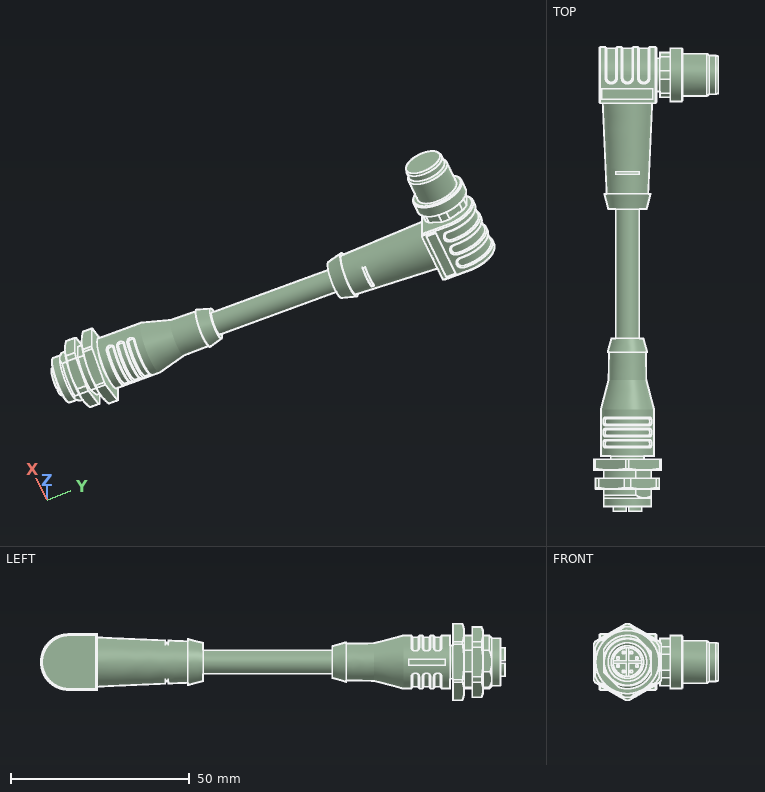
import cadquery as cq
import math

OVERALL_LENGTH = 130
OVERLAP = 0.6

head_dia = 15.7
head_radius = head_dia / 2
head_bottom = -7.9
head_left = -7.9
head_right = 8.2
head_edge_chamfer = 0.4
grip_depth = 0.4
head_grip_width = 3.4
head_grip_pitch = 4.5
head_grip_end = -2.5
label_length = 14.3
label_width = 2.9
label_center = -5.3
label_depth = 0.2

plug_neck_dia = 9.4
plug_hex_flats = 12.6
plug_hex_corners = 13.4
plug_ring_dia = 15.0
plug_thread_dia = 12.0
plug_tip_dia = 10.9
plug_mouth_dia = 10.4
plug_hex_start = 9.1
plug_ring_start = 12.0
plug_thread_start = 15.5
plug_thread_end = 22.2
plug_tip_start = 22.9
plug_mouth_start = 24.7
plug_end = 25.5
plug_ring_chamfer = 0.32

relief_top_dia = 13.9
relief_end_dia = 11.7
relief_collar_dia = 13
relief_tip_dia = 10.8
relief_collar = -33.3
relief_end = -37.5
mark_width = 6.5
mark_height = 0.8
mark_depth = 0.5
mark_center = -27.4
cable_dia = 6.6

socket_tip = -73.7
socket_collar = -77.6
socket_cone_start = -85.4
socket_body_start = -93.6
socket_body_end = -106.7
socket_tip_dia = 9.0
socket_collar_dia = 11.2
socket_sleeve_dia = 10.4
socket_cone_dia = 10.7
socket_body_dia = 15.0
socket_grip_depth = 0.5
socket_grip_width = 2.3
socket_grip_wall = 0.4
socket_grip_pitch = 3.1
socket_grip_first = -97.0
socket_grip_floor = 3.1
panel_length = 10.1
panel_width = 1.7
panel_center = -100.2
panel_depth = 0.1

socket_neck_dia = 9.4
flange_start = -107.5
flange_thickness = 3.1
flange_flats = 19.0
flange_corners = 21.5
flange_face_dia = 18.7
nut_start = -112.8
nut_thickness = 3.1
nut_flats = 18.0
nut_corners = 19.8
nut_face_dia = 17.7
hex_chamfer = 0.45
barrel_dia = 15.0
barrel_flats = 13.4
barrel_taper_start = -117.6
barrel_taper_end = -118.4
barrel_end = -120.9
barrel_end_chamfer = 0.2
bore_mouth_dia = 10.8
bore_floor_dia = 9.1
bore_depth = 5.2

insert_end = head_radius - OVERALL_LENGTH
insert_dia = 8.0
insert_slot = 0.6
insert_slot_depth = 2.6
contact_dia = 0.73
contact_depth = 3.9
contact_circle = 5.7
contact_half_angle = 22.5


def box(size, center):
    return cq.Workplane("XY").box(*size).translate(center)


def turned_y(points):
    """Turn a (radius, Y) outline about the Y axis."""
    outline = [(0, points[0][1])] + points + [(0, points[-1][1])]
    return cq.Workplane("XY").polyline(outline).close().revolve(360, (0, 0, 0), (0, 1, 0))


def turned_x(points):
    """Turn an (X, radius) outline about the X axis."""
    outline = [(points[0][0], 0)] + points + [(points[-1][0], 0)]
    return cq.Workplane("XY").polyline(outline).close().revolve(360, (0, 0, 0), (1, 0, 0))


def head_grip(center):
    """Groove with sloping walls, wrapping the round end and ending in a rounded tip on both flats."""
    half_outer = head_grip_width / 2
    half_floor = half_outer - grip_depth
    floor_r = head_radius - grip_depth
    wrap = (
        cq.Workplane("XY")
        .polyline([
            (center - half_outer, head_radius),
            (center - half_floor, floor_r),
            (center + half_floor, floor_r),
            (center + half_outer, head_radius),
        ])
        .close()
        .revolve(360, (0, 0, 0), (1, 0, 0))
        .intersect(box((4 * half_outer, 2 * head_radius, 2 * head_radius), (center, head_radius, 0)))
    )
    tip = (
        cq.Workplane("XY", origin=(center, 0, head_radius))
        .slot2D(-2 * head_grip_end, head_grip_width, 90)
        .extrude(-grip_depth, taper=45)
    )
    return wrap.union(tip).union(tip.mirror("XY"))


def head():
    """D-shaped block, round at +Y and square at -Y, with grip grooves and label recesses."""
    body = (
        cq.Workplane("YZ", origin=(head_left, 0, 0))
        .moveTo(head_bottom, -head_radius)
        .lineTo(0, -head_radius)
        .threePointArc((head_radius, 0), (0, head_radius))
        .lineTo(head_bottom, head_radius)
        .close()
        .extrude(head_right - head_left)
        .faces("<X or >X")
        .chamfer(head_edge_chamfer)
    )
    for i in (-1, 0, 1):
        body = body.cut(head_grip(i * head_grip_pitch))
    for side in (-1, 1):
        body = body.cut(
            box((label_length, label_width, 2 * label_depth), (0, label_center, side * head_radius))
        )
    return body


def plug():
    neck_r = plug_neck_dia / 2
    ring_r = plug_ring_dia / 2
    thread_r = plug_thread_dia / 2
    tip_r = plug_tip_dia / 2
    body = turned_x([
        (head_right - OVERLAP, neck_r),
        (plug_ring_start, neck_r),
        (plug_ring_start, ring_r),
        (plug_thread_start - plug_ring_chamfer, ring_r),
        (plug_thread_start, ring_r - plug_ring_chamfer),
        (plug_thread_start, thread_r),
        (plug_thread_end, thread_r),
        (plug_tip_start, tip_r),
        (plug_mouth_start, tip_r),
        (plug_end, plug_mouth_dia / 2),
    ])
    hex_length = plug_ring_start - plug_hex_start
    hexagon = (
        cq.Workplane("YZ", origin=(plug_hex_start, 0, 0))
        .polygon(6, plug_hex_flats / math.cos(math.pi / 6))
        .extrude(hex_length)
        .rotate((0, 0, 0), (1, 0, 0), 30)
    )
    rounding = (
        cq.Workplane("YZ", origin=(plug_hex_start, 0, 0)).circle(plug_hex_corners / 2).extrude(hex_length)
    )
    return body.union(hexagon.intersect(rounding))


def strain_relief():
    body = turned_y([
        (relief_top_dia / 2, head_bottom + OVERLAP),
        (relief_top_dia / 2, head_bottom),
        (relief_end_dia / 2, relief_collar),
        (relief_collar_dia / 2, relief_collar),
        (relief_tip_dia / 2, relief_end),
    ])
    share = (head_bottom - mark_center) / (head_bottom - relief_collar)
    surface_r = (relief_top_dia + share * (relief_end_dia - relief_top_dia)) / 2
    core_r = surface_r - mark_depth
    mark = box((mark_width, mark_height, relief_top_dia), (0, mark_center, 0)).cut(
        turned_y([(core_r, mark_center + mark_height), (core_r, mark_center - mark_height)])
    )
    return body.cut(mark)


def cable():
    return turned_y([(cable_dia / 2, relief_end + OVERLAP), (cable_dia / 2, socket_tip - OVERLAP)])


def socket_moulding():
    body_r = socket_body_dia / 2
    body = turned_y([
        (socket_tip_dia / 2, socket_tip),
        (socket_collar_dia / 2, socket_collar),
        (socket_sleeve_dia / 2, socket_collar),
        (socket_cone_dia / 2, socket_cone_start),
        (body_r, socket_body_start),
        (body_r, socket_body_end),
    ])
    floor_r = body_r - socket_grip_depth
    half_outer = socket_grip_width / 2
    half_floor = half_outer - socket_grip_wall
    groove_length = 2 * (body_r - socket_grip_floor)
    for i in range(3):
        groove_y = socket_grip_first - i * socket_grip_pitch
        ring = (
            cq.Workplane("XY")
            .polyline([
                (body_r, groove_y + half_outer),
                (floor_r, groove_y + half_floor),
                (floor_r, groove_y - half_floor),
                (body_r, groove_y - half_outer),
            ])
            .close()
            .revolve(360, (0, 0, 0), (0, 1, 0))
        )
        for side in (-1, 1):
            slot = (
                cq.Workplane("YZ", origin=(-body_r, groove_y, side * body_r))
                .slot2D(groove_length, socket_grip_width, 90)
                .extrude(2 * body_r)
            )
            body = body.cut(ring.intersect(slot))
    return body.cut(box((2 * panel_depth, panel_length, panel_width), (-body_r, panel_center, 0)))


def chamfered_hex(start, thickness, flats, corners, face_dia):
    """Hexagon across Y with corners along Z, rounded to a circle and chamfered on the -Y face."""
    end = start - thickness
    hexagon = (
        cq.Workplane("XZ", origin=(0, start, 0))
        .polygon(6, flats / math.cos(math.pi / 6))
        .extrude(thickness)
        .rotate((0, 0, 0), (0, 1, 0), 30)
    )
    rounding = turned_y([
        (corners / 2, start),
        (corners / 2, end + hex_chamfer),
        (face_dia / 2, end),
    ])
    return hexagon.intersect(rounding)


def panel_socket():
    end_r = barrel_flats / 2
    barrel = turned_y([
        (barrel_dia / 2, flange_start),
        (barrel_dia / 2, barrel_taper_start),
        (end_r, barrel_taper_end),
        (end_r, barrel_end + barrel_end_chamfer),
        (end_r - barrel_end_chamfer, barrel_end),
    ])
    length = flange_start - barrel_end
    middle = (flange_start + barrel_end) / 2
    for angle in (0, 45):
        slab = box((barrel_flats, length, 2 * barrel_dia), (0, middle, 0))
        barrel = barrel.intersect(slab.rotate((0, 0, 0), (0, 1, 0), -angle))
    flange = chamfered_hex(flange_start, flange_thickness, flange_flats, flange_corners, flange_face_dia)
    nut = chamfered_hex(nut_start, nut_thickness, nut_flats, nut_corners, nut_face_dia)
    bore = turned_y([
        (bore_mouth_dia / 2, barrel_end),
        (bore_floor_dia / 2, barrel_end + bore_depth),
    ])
    neck = turned_y([
        (socket_neck_dia / 2, socket_body_end + OVERLAP),
        (socket_neck_dia / 2, flange_start - OVERLAP),
    ])
    return barrel.union(flange).union(nut).cut(bore).union(neck)


def contact_insert():
    insert = turned_y([
        (insert_dia / 2, barrel_end + bore_depth + OVERLAP),
        (insert_dia / 2, insert_end),
    ])
    slot_size = (2 * insert_dia, 2 * insert_slot_depth, insert_slot)
    slot = box(slot_size, (0, insert_end, 0))
    insert = insert.cut(slot).cut(slot.rotate((0, 0, 0), (0, 1, 0), 90))
    contact_points = []
    for quadrant in range(4):
        for side in (-1, 1):
            angle = math.radians(45 + 90 * quadrant + side * contact_half_angle)
            contact_points.append(
                (contact_circle / 2 * math.cos(angle), contact_circle / 2 * math.sin(angle))
            )
    contacts = (
        cq.Workplane("XZ", origin=(0, insert_end + contact_depth, 0))
        .pushPoints(contact_points)
        .circle(contact_dia / 2)
        .extrude(contact_depth)
    )
    return insert.cut(contacts)


result = head()
for piece in (plug(), strain_relief(), cable(), socket_moulding(), panel_socket(), contact_insert()):
    result = result.union(piece)